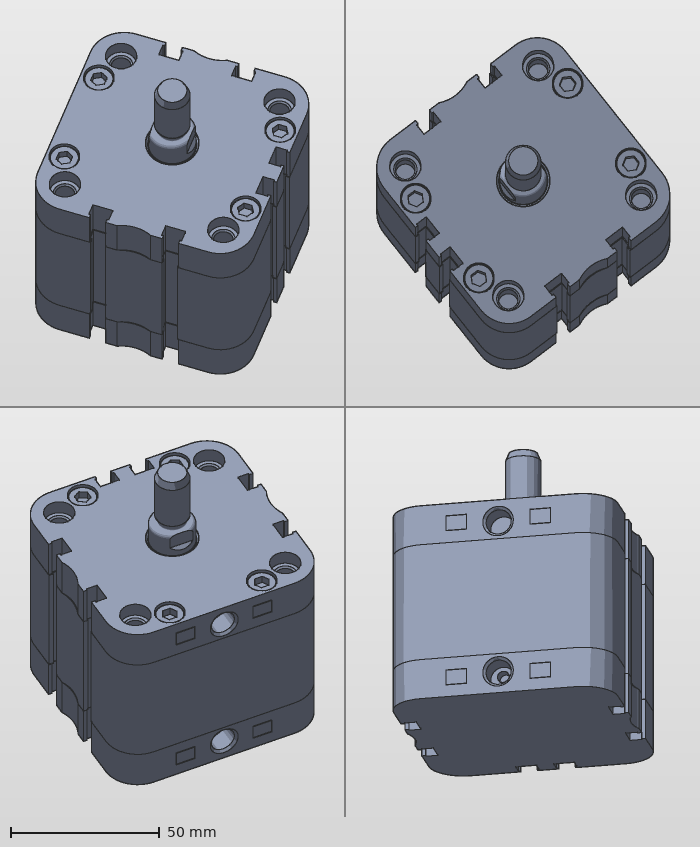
import cadquery as cq
BODY_WIDTH = 77.0
CORNER_RADIUS = 12.0
CAP_HEIGHT = 14.0
BARREL_HEIGHT = 41.1
TOTAL_HEIGHT = 99.0

HALF_WIDTH = BODY_WIDTH / 2
BARREL_TOP = CAP_HEIGHT + BARREL_HEIGHT
BODY_TOP = BARREL_TOP + CAP_HEIGHT

SENSOR_SLOT_OFFSET = 6.5
SENSOR_SLOT_RAISE = 0.3
BARREL_SLOT = {"offset": 12.8, "mouth": 5.4, "width": 6.7, "lip": 1.7, "depth": 5.1}
CAP_SLOT = {"offset": 13.0, "mouth": 5.8, "width": 7.1, "lip": 1.4, "depth": 5.4}

BARREL_GROOVE = {"half_width": 5.8, "depth": 1.1, "edge_radius": 2.4}
CAP_GROOVE = {"half_width": 5.9, "depth": 1.4, "edge_radius": 0}

MOUNT_OFFSET = 28.2
MOUNT_BORE_DIAMETER = 10.5
MOUNT_BORE_DEPTH = 5.0
MOUNT_HOLE_DIAMETER = 6.6
MOUNT_HOLE_DEPTH = 11.9
MOUNT_CHAMFER = 0.6

SCREW_X = 32.3
SCREW_Y = 17.3
SCREW_BORE_DIAMETER = 10.3
SCREW_BORE_DEPTH = 1.5
SCREW_HEAD_DIAMETER = 9.8
SCREW_HEAD_CHAMFER = 0.2
SCREW_HEAD_DROP = 0.8
HEX_FLATS = 4.9
HEX_DEPTH = 3.6
HEX_TURN = 30

PORT_DIAMETER = 8.6
PORT_MOUTH_DIAMETER = 10.5
PORT_DEPTH = 8.0
PORT_TO_END = 7.6
PASSAGE_DIAMETER = 4.0
PASSAGE_RISE = 0.9
PASSAGE_DEPTH = 11.9

LABEL_LENGTH = 7.0
LABEL_HEIGHT = 5.2
LABEL_OFFSET = 14.5
LABEL_TO_END = 6.9
LABEL_DEPTH = 0.3

ROD_DIAMETER = 16.0
SHOULDER_Z = 77.0
SHOULDER_RADIUS = 1.7
NECK_DIAMETER = 10.0
NECK_FILLET = 0.4
NECK_TOP_Z = 79.4
THREAD_DIAMETER = 12.0
THREAD_CHAMFER = 0.4
TIP_DIAMETER = 9.8
TIP_HEIGHT = 2.7
WRENCH_FLATS = 13.5
WRENCH_BOTTOM_Z = 71.7

RECESS_DIAMETER = 18.0
RECESS_DEPTH = 0.2
WIPER_TOP_DIAMETER = 17.7
WIPER_BOTTOM_DIAMETER = 16.5
WIPER_DEPTH = 0.6


def t_slot(bottom_z, height, slot):
    """T-slot cutter in the -Y side, centred on X = 0."""
    mouth = (
        cq.Workplane("XY", origin=(0, -HALF_WIDTH, bottom_z))
        .rect(slot["mouth"], 2 * slot["depth"])
        .extrude(height)
    )
    undercut_height = slot["depth"] - slot["lip"]
    undercut = (
        cq.Workplane("XY", origin=(0, -HALF_WIDTH + slot["lip"] + undercut_height / 2, bottom_z))
        .rect(slot["width"], undercut_height)
        .extrude(height)
    )
    return mouth.union(undercut)


def round_groove(bottom_z, height, groove):
    """Cylindrical groove cutter in the -Y side, centred on X = 0."""
    half_width = groove["half_width"]
    depth = groove["depth"]
    radius = (half_width**2 + depth**2) / (2 * depth)
    return (
        cq.Workplane("XY", origin=(0, -HALF_WIDTH + depth - radius, bottom_z))
        .circle(radius)
        .extrude(height)
    )


def profile_section(bottom_z, height, slot, groove):
    """Length of the square body with its T-slots and round grooves."""
    section = (
        cq.Workplane("XY", origin=(0, 0, bottom_z))
        .rect(BODY_WIDTH, BODY_WIDTH)
        .extrude(height)
        .edges("|Z")
        .fillet(CORNER_RADIUS)
    )
    groove_cutter = round_groove(bottom_z, height, groove)
    section = section.cut(groove_cutter).cut(groove_cutter.mirror("XZ"))
    if groove["edge_radius"]:
        reach_x = 2 * groove["half_width"]
        middle = cq.selectors.BoxSelector((-reach_x, -BODY_WIDTH, 0), (reach_x, BODY_WIDTH, BODY_TOP))
        section = section.edges("|Z").edges(middle).fillet(groove["edge_radius"])

    cutter = t_slot(bottom_z, height, slot)
    for side in (-1, 1):
        side_slot = cutter.translate((side * slot["offset"], 0, 0))
        sensor_slot = (
            cutter.translate((side * SENSOR_SLOT_OFFSET, -SENSOR_SLOT_RAISE, 0))
            .rotate((0, 0, 0), (0, 0, 1), 90)
        )
        section = section.cut(side_slot).cut(side_slot.mirror("XZ")).cut(sensor_slot)
    return section


def port(z):
    """Chamfered port cutter entering the -X side."""
    chamfer = (PORT_MOUTH_DIAMETER - PORT_DIAMETER) / 2
    profile = [
        (-HALF_WIDTH, z),
        (-HALF_WIDTH, z + PORT_MOUTH_DIAMETER / 2),
        (-HALF_WIDTH + chamfer, z + PORT_DIAMETER / 2),
        (-HALF_WIDTH + PORT_DEPTH, z + PORT_DIAMETER / 2),
        (-HALF_WIDTH + PORT_DEPTH, z),
    ]
    return cq.Workplane("XZ").polyline(profile).close().revolve(360, (0, z, 0), (1, z, 0))


def label_panels(z):
    """Shallow rectangular recess cutters on both sides of a port."""
    return (
        cq.Workplane("YZ", origin=(-HALF_WIDTH, 0, z))
        .pushPoints([(-LABEL_OFFSET, 0), (LABEL_OFFSET, 0)])
        .rect(LABEL_LENGTH, LABEL_HEIGHT)
        .extrude(LABEL_DEPTH)
    )


def mounting_holes():
    """Counterbored, chamfered blind hole cutters at the four corners of the top cap."""
    floor_z = BODY_TOP - MOUNT_BORE_DEPTH
    hole_radius = MOUNT_HOLE_DIAMETER / 2
    profile = [
        (0, BODY_TOP),
        (MOUNT_BORE_DIAMETER / 2, BODY_TOP),
        (MOUNT_BORE_DIAMETER / 2, floor_z),
        (hole_radius + MOUNT_CHAMFER, floor_z),
        (hole_radius, floor_z - MOUNT_CHAMFER),
        (hole_radius, BODY_TOP - MOUNT_HOLE_DEPTH),
        (0, BODY_TOP - MOUNT_HOLE_DEPTH),
    ]
    hole = cq.Workplane("XZ").polyline(profile).close().revolve()
    return [
        hole.translate((x, y, 0))
        for x in (-MOUNT_OFFSET, MOUNT_OFFSET)
        for y in (-MOUNT_OFFSET, MOUNT_OFFSET)
    ]


def screw_recess(turn):
    """Cutter that leaves a sunk hex-socket screw head; turn is the socket angle in degrees."""
    ring = (
        cq.Workplane("XY", origin=(0, 0, BODY_TOP))
        .circle(SCREW_BORE_DIAMETER / 2)
        .extrude(-SCREW_BORE_DEPTH)
    )
    head = (
        cq.Workplane("XY", origin=(0, 0, BODY_TOP - SCREW_HEAD_DROP))
        .circle(SCREW_HEAD_DIAMETER / 2)
        .extrude(-SCREW_BORE_DEPTH)
        .faces(">Z")
        .chamfer(SCREW_HEAD_CHAMFER)
    )
    socket = (
        cq.Workplane("XY", origin=(0, 0, BODY_TOP))
        .polygon(6, HEX_FLATS, circumscribed=True)
        .extrude(-HEX_DEPTH)
        .rotate((0, 0, 0), (0, 0, 1), turn)
    )
    return ring.cut(head).union(socket)


def rod_opening():
    """Cutter for the rod bore with the stepped, tapered recess at its mouth."""
    step_z = BODY_TOP - RECESS_DEPTH
    profile = [
        (0, BODY_TOP),
        (RECESS_DIAMETER / 2, BODY_TOP),
        (RECESS_DIAMETER / 2, step_z),
        (WIPER_TOP_DIAMETER / 2, step_z),
        (WIPER_BOTTOM_DIAMETER / 2, step_z - WIPER_DEPTH),
        (ROD_DIAMETER / 2, step_z - WIPER_DEPTH),
        (ROD_DIAMETER / 2, BARREL_TOP),
        (0, BARREL_TOP),
    ]
    return cq.Workplane("XZ").polyline(profile).close().revolve()


def make_barrel():
    return profile_section(CAP_HEIGHT, BARREL_HEIGHT, BARREL_SLOT, BARREL_GROOVE)


def make_bottom_cap():
    passage = (
        cq.Workplane("YZ", origin=(-HALF_WIDTH, 0, PORT_TO_END + PASSAGE_RISE))
        .circle(PASSAGE_DIAMETER / 2)
        .extrude(PASSAGE_DEPTH)
    )
    cap = profile_section(0, CAP_HEIGHT, CAP_SLOT, CAP_GROOVE)
    return cap.cut(port(PORT_TO_END)).cut(passage).cut(label_panels(LABEL_TO_END))


def make_top_cap():
    cap = profile_section(BARREL_TOP, CAP_HEIGHT, CAP_SLOT, CAP_GROOVE)
    cap = cap.cut(port(BODY_TOP - PORT_TO_END)).cut(label_panels(BODY_TOP - LABEL_TO_END))
    cap = cap.cut(rod_opening())
    for hole in mounting_holes():
        cap = cap.cut(hole)
    for x, turn in ((-SCREW_X, 0), (SCREW_X, HEX_TURN)):
        for y in (-SCREW_Y, SCREW_Y):
            cap = cap.cut(screw_recess(turn).translate((x, y, 0)))
    return cap


def wrench_flat():
    """Cutter for the +X wrench flat with its 45 degree run-out."""
    flat_x = WRENCH_FLATS / 2
    outer_x = ROD_DIAMETER
    profile = [
        (flat_x, SHOULDER_Z),
        (flat_x, WRENCH_BOTTOM_Z),
        (outer_x, WRENCH_BOTTOM_Z - (outer_x - flat_x)),
        (outer_x, SHOULDER_Z),
    ]
    return cq.Workplane("XZ").polyline(profile).close().extrude(ROD_DIAMETER / 2, both=True)


def make_piston_rod():
    """Rod with wrench flats, undercut neck and threaded end, standing on the barrel."""
    shaft = (
        cq.Workplane("XY", origin=(0, 0, BARREL_TOP))
        .circle(ROD_DIAMETER / 2)
        .extrude(SHOULDER_Z - BARREL_TOP)
        .faces(">Z")
        .edges()
        .fillet(SHOULDER_RADIUS)
    )
    flat = wrench_flat()
    shaft = shaft.cut(flat).cut(flat.mirror("YZ"))

    thread_radius = THREAD_DIAMETER / 2
    neck_radius = NECK_DIAMETER / 2
    threaded_end = (
        cq.Workplane("XZ")
        .moveTo(0, SHOULDER_Z)
        .lineTo(neck_radius + NECK_FILLET, SHOULDER_Z)
        .radiusArc((neck_radius, SHOULDER_Z + NECK_FILLET), NECK_FILLET)
        .lineTo(neck_radius, NECK_TOP_Z)
        .lineTo(thread_radius - THREAD_CHAMFER, NECK_TOP_Z)
        .lineTo(thread_radius, NECK_TOP_Z + THREAD_CHAMFER)
        .lineTo(thread_radius, TOTAL_HEIGHT - TIP_HEIGHT)
        .lineTo(TIP_DIAMETER / 2, TOTAL_HEIGHT)
        .lineTo(0, TOTAL_HEIGHT)
        .close()
        .revolve()
    )
    return shaft.union(threaded_end)


bottom_cap = make_bottom_cap()
barrel = make_barrel()
top_cap = make_top_cap()
piston_rod = make_piston_rod()

result = cq.Compound.makeCompound(
    [body.solids().val() for body in (bottom_cap, barrel, top_cap, piston_rod)]
)